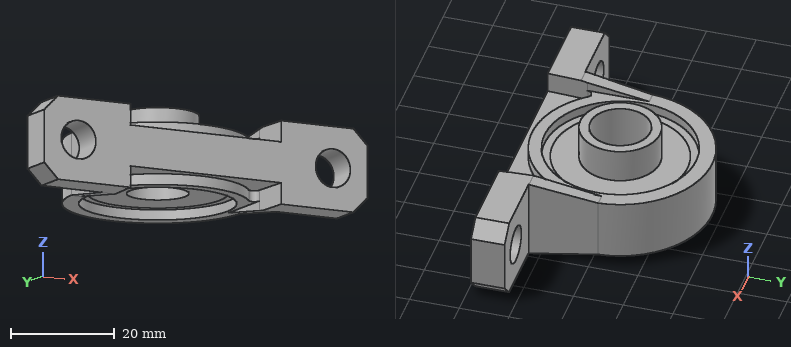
import cadquery as cq
import math


base_length = 70.8
base_height = 16.5
base_thickness = 6.8
base_y = -19.55
base_top_y = base_y + base_thickness
corner_chamfer = 3.05
bolt_spacing = 55.7
bolt_hole_diameter = 7.6

head_radius = 18.5
head_height = 12.3
draft_angle = math.radians(3)
tangent_x = head_radius * math.cos(draft_angle)
tangent_y = head_radius * math.sin(draft_angle)

pocket_half_width = 16.5
pocket_arc_radius = 17.8
pocket_tip_radius = 1.05
web_height = 8.1
slope_inner_x = 16.1

seat_radius = 15.2
outer_ring_inner_radius = 13.5
bearing_recess = 2.0
bearing_height = head_height - 2 * bearing_recess
sleeve_radius = 8.0
bore_radius = 6.0
sleeve_top_z = 11.1


def drafted_x(start_x, start_y, y):
    """Half width at y of a wall leaning inward by the draft angle as y rises."""
    return start_x - (y - start_y) * math.tan(draft_angle)


def cylinder(radius, bottom_z, top_z):
    return cq.Workplane("XY").workplane(offset=bottom_z).circle(radius).extrude(top_z - bottom_z)


def ring(outer_radius, inner_radius, height):
    return (
        cq.Workplane("XY").workplane(offset=-height / 2)
        .circle(outer_radius).circle(inner_radius).extrude(height)
    )


def make_base():
    """Flat bar with chamfered ends."""
    return (
        cq.Workplane("XY")
        .box(base_length, base_thickness, base_height)
        .edges("|Y").chamfer(corner_chamfer)
        .translate((0, base_y + base_thickness / 2, 0))
    )


def make_neck():
    """Drafted block that grows taller from the head toward the base, with level middle faces."""
    foot_x = drafted_x(tangent_x, tangent_y, base_y)
    outline = (
        cq.Workplane("XY").workplane(offset=-base_height / 2)
        .moveTo(-foot_x, base_y)
        .lineTo(foot_x, base_y)
        .lineTo(tangent_x, tangent_y)
        .lineTo(-tangent_x, tangent_y)
        .close().extrude(base_height)
    )
    side_profile = (
        cq.Workplane("YZ").workplane(offset=-base_length / 2)
        .moveTo(tangent_y, -head_height / 2)
        .lineTo(tangent_y, head_height / 2)
        .lineTo(base_top_y, base_height / 2)
        .lineTo(base_y, base_height / 2)
        .lineTo(base_y, -base_height / 2)
        .lineTo(base_top_y, -base_height / 2)
        .close().extrude(base_length)
    )
    return outline.intersect(side_profile)


def make_face_cut(side):
    """Level the face between the sloped cheeks; side is +1 for the top, -1 for the bottom."""
    depth = (base_height - head_height) / 2
    return (
        cq.Workplane("XY")
        .box(2 * slope_inner_x, tangent_y - base_y, depth, centered=(True, False, True))
        .translate((0, base_y, side * (head_height + depth) / 2))
    )


def make_pocket(side):
    """Pocket with drafted sides, rounded tips and an arc concentric with the bore."""
    depth = (base_height - web_height) / 2
    top_x = drafted_x(pocket_half_width, base_y, 0)
    tip_y = -math.sqrt(pocket_arc_radius**2 - slope_inner_x**2)
    pocket = (
        cq.Workplane("XY").workplane(offset=-depth / 2)
        .moveTo(-pocket_half_width, base_y)
        .lineTo(pocket_half_width, base_y)
        .lineTo(top_x, 0)
        .lineTo(-top_x, 0)
        .close().extrude(depth)
        .cut(cylinder(pocket_arc_radius, -depth / 2, depth / 2))
    )
    tips = cq.selectors.BoxSelector(
        (-base_length, tip_y - pocket_tip_radius, -depth),
        (base_length, 0, depth),
    )
    return (
        pocket.edges("|Z").edges(tips).fillet(pocket_tip_radius)
        .translate((0, 0, side * (web_height + depth) / 2))
    )


def make_bolt_holes():
    return (
        cq.Workplane("XZ", origin=(0, base_top_y, 0))
        .pushPoints([(-bolt_spacing / 2, 0), (bolt_spacing / 2, 0)])
        .circle(bolt_hole_diameter / 2).extrude(base_thickness)
    )


def make_housing():
    head = cylinder(head_radius, -head_height / 2, head_height / 2)
    housing = make_base().union(make_neck()).union(head)
    for side in (1, -1):
        housing = housing.cut(make_face_cut(side)).cut(make_pocket(side))
    housing = housing.cut(cylinder(seat_radius, -base_height / 2, base_height / 2))
    return housing.cut(make_bolt_holes())


def make_outer_ring():
    return ring(seat_radius, outer_ring_inner_radius, bearing_height)


def make_inner_insert():
    """Disc inside the outer ring with a raised sleeve, bored through."""
    bottom_z = -bearing_height / 2
    disc = cylinder(outer_ring_inner_radius, bottom_z, bearing_height / 2)
    sleeve = cylinder(sleeve_radius, bottom_z, sleeve_top_z)
    return disc.union(sleeve).cut(cylinder(bore_radius, bottom_z, sleeve_top_z))


housing = make_housing()
outer_ring = make_outer_ring()
inner_insert = make_inner_insert()

result = cq.Compound.makeCompound([housing.val(), outer_ring.val(), inner_insert.val()])